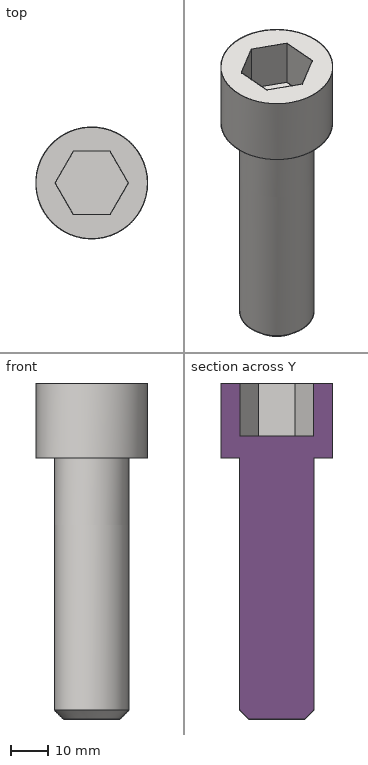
import cadquery as cq
import math

thread_diameter = 20.0
screw_length = 70.0
thread_length = 52.0
tip_chamfer = 2.5

head_diameter = 1.5 * thread_diameter
head_height = thread_diameter

socket_across_flats = 17.0
socket_depth = 14.0
socket_across_corners = socket_across_flats / math.cos(math.pi / 6)


def make_head():
    return cq.Workplane("XY").circle(head_diameter / 2).extrude(head_height)


def make_plain_shank():
    """Unthreaded length between the head and the thread."""
    return cq.Workplane("XY").circle(thread_diameter / 2).extrude(thread_length - screw_length)


def make_threaded_end():
    """Thread envelope at its major diameter, chamfered at the tip."""
    return (
        cq.Workplane("XY")
        .workplane(offset=-screw_length)
        .circle(thread_diameter / 2)
        .extrude(thread_length)
        .faces("<Z")
        .chamfer(tip_chamfer)
    )


def make_socket():
    """Hexagonal key socket, with two corners on the X axis."""
    return (
        cq.Workplane("XY")
        .workplane(offset=head_height - socket_depth)
        .polygon(6, socket_across_corners)
        .extrude(socket_depth)
    )


shank = make_plain_shank().union(make_threaded_end(), clean=False)
result = make_head().union(shank, clean=False).cut(make_socket(), clean=False)